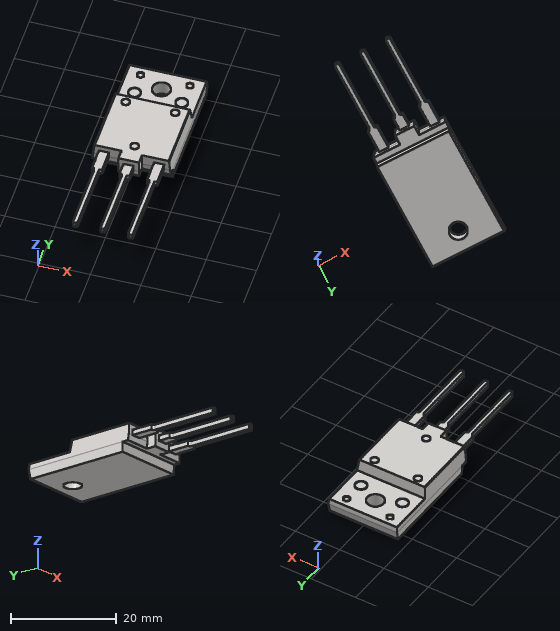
import cadquery as cq


part_line_z = 2.0
lead_bottom_z = 3.4
lead_top_z = 4.5
shelf_z = 3.2
body_top_z = 5.7

body_width = 15.6
base_bottom_width = 15.4
body_top_width = 14.85
edge_chamfer = 0.1

overall_length = 43.8
body_length = 24.5
front_draft = 0.11
back_top_draft = 0.15
back_bottom_draft = 0.4
base_setback = 1.4
base_front_draft = 0.1
step_foot_from_back = 10.0
step_run = 0.4

tab_width = 4.1
tab_length = 2.0
tab_root_depth = 1.3

lead_pitch = 5.48
lead_reach = overall_length - body_length
shoulder_reach = 4.6
shoulder_width = 2.0
lead_width = 0.9
neck_radius = 0.4
tip_chamfer = 0.2
lead_embed = 0.88

mount_hole_diameter = 3.6
mount_hole_from_back = 4.5
mark_offset_x = 4.9

pin_mark_diameter = 1.4
pin_mark_from_back = 2.0
pin_mark_depth = 0.2

pad_mark_diameter = 2.4
pad_mark_offset_x = 4.7
pad_mark_from_back = 6.75
pad_mark_depth = 0.15

top_mark_diameter = 1.6
top_mark_from_back = 11.85
front_mark_from_back = 22.43
top_mark_depth = 0.1


def mirrored_outline(right_side):
    """Close an XZ outline from its right-hand points, bottom to top."""
    left_side = [(-x, z) for x, z in reversed(right_side)]
    return cq.Workplane("XZ").polyline(right_side + left_side).close()


def make_body():
    """Stepped length profile trimmed by the tapered cross-section."""
    step_foot_y = body_length - step_foot_from_back
    length_profile = [
        (base_setback + base_front_draft, 0),
        (base_setback, part_line_z),
        (front_draft, part_line_z),
        (0, lead_bottom_z),
        (front_draft, body_top_z),
        (step_foot_y - step_run, body_top_z),
        (step_foot_y, shelf_z),
        (body_length - back_top_draft, shelf_z),
        (body_length, part_line_z),
        (body_length - back_bottom_draft, 0),
    ]
    blank = cq.Workplane("YZ").polyline(length_profile).close().extrude(body_width, both=True)
    cross_section = mirrored_outline([
        (base_bottom_width / 2, 0),
        (body_width / 2, part_line_z),
        (body_top_width / 2, body_top_z - edge_chamfer),
        (body_top_width / 2 - edge_chamfer, body_top_z),
    ])
    return blank.intersect(cross_section.extrude(-body_length))


def make_tab():
    """Tab with the same front draft as the body, rooted inside it."""
    tab_profile = [
        (tab_root_depth, part_line_z),
        (front_draft - tab_length, part_line_z),
        (-tab_length, lead_bottom_z),
        (front_draft - tab_length, body_top_z),
        (tab_root_depth, body_top_z),
    ]
    return cq.Workplane("YZ").polyline(tab_profile).close().extrude(tab_width / 2, both=True)


def make_lead(center_x, root_y):
    """Flat lead: wide shoulder, filleted neck and chamfered tip."""
    thickness = lead_top_z - lead_bottom_z
    level = cq.Workplane("XY", origin=(center_x, 0, lead_bottom_z))
    shoulder_length = root_y + shoulder_reach
    shoulder = (
        level.center(0, root_y - shoulder_length / 2)
        .rect(shoulder_width, shoulder_length)
        .extrude(thickness)
    )
    blade_length = root_y + lead_reach
    blade = (
        level.center(0, root_y - blade_length / 2)
        .rect(lead_width, blade_length)
        .extrude(thickness)
        .edges("|Z and <Y")
        .chamfer(tip_chamfer)
    )
    neck_corners = cq.selectors.BoxSelector(
        (center_x - lead_width, -shoulder_reach - neck_radius, 0),
        (center_x + lead_width, -shoulder_reach + neck_radius, body_top_z),
    )
    return shoulder.union(blade).edges("|Z").edges(neck_corners).fillet(neck_radius)


def round_cutters(points, diameter, top_z, depth):
    """Cylinders to cut downward from top_z; points are (x, distance from back)."""
    places = [(x, body_length - from_back) for x, from_back in points]
    level = cq.Workplane("XY", origin=(0, 0, top_z))
    return level.pushPoints(places).circle(diameter / 2).extrude(-depth)


def pair(offset_x, from_back):
    """Two places mirrored about the centre line."""
    return [(-offset_x, from_back), (offset_x, from_back)]


result = make_body().union(make_tab())

for side in (-1, 0, 1):
    front_y = -tab_length if side == 0 else 0
    result = result.union(make_lead(side * lead_pitch, front_y + lead_embed))

pin_marks = pair(mark_offset_x, pin_mark_from_back)
pad_marks = pair(pad_mark_offset_x, pad_mark_from_back)
top_marks = pair(mark_offset_x, top_mark_from_back) + [(0, front_mark_from_back)]
result = (
    result
    .cut(round_cutters([(0, mount_hole_from_back)], mount_hole_diameter, shelf_z, shelf_z))
    .cut(round_cutters(pin_marks, pin_mark_diameter, shelf_z, pin_mark_depth))
    .cut(round_cutters(pad_marks, pad_mark_diameter, shelf_z, pad_mark_depth))
    .cut(round_cutters(top_marks, top_mark_diameter, body_top_z, top_mark_depth))
)